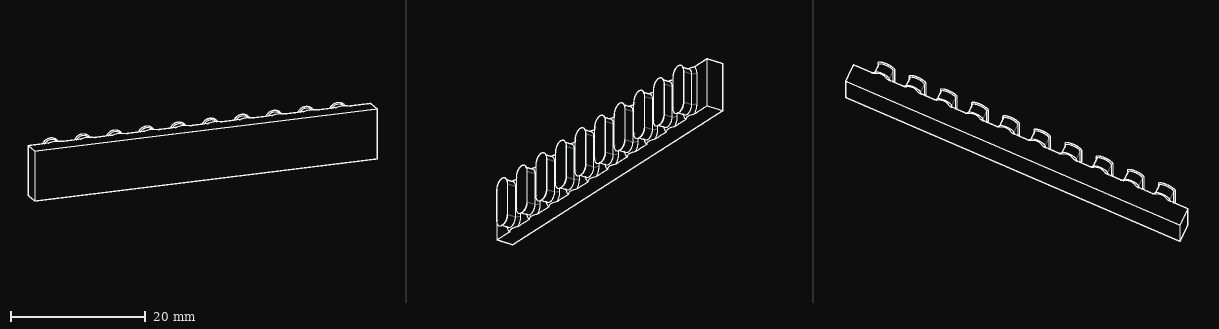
import cadquery as cq

total_depth = 5.0
plate_thickness = 2.85
plate_length = 54.53
plate_height = 7.84

tooth_count = 10
tooth_pitch = 5.08
tooth_height = total_depth - plate_thickness

stem_radius = 1.18
tip_flare = 0.2
root_flare = 0.56
tip_radius = stem_radius + tip_flare
root_radius = stem_radius + root_flare
end_spacing = plate_height - 2 * tip_radius

tooth_plane = cq.Plane(origin=(-plate_thickness, 0, 0), xDir=(0, 1, 0), normal=(0, 0, 1))


def make_plate():
    """Rectangular bar that carries the teeth."""
    plate = cq.Workplane("XY").box(plate_thickness, plate_length, plate_height)
    return plate.translate((-plate_thickness / 2, 0, 0))


def make_tooth():
    """Tooth at Y = 0, with its root flare trimmed flush with the top and bottom of the plate."""
    flank = [
        (root_radius, 0),
        (stem_radius, root_flare),
        (stem_radius, tooth_height - tip_flare),
        (tip_radius, tooth_height),
    ]
    opposite_flank = [(-across, outward) for across, outward in reversed(flank)]
    full_section = cq.Workplane(tooth_plane).polyline(flank + opposite_flank).close()
    tooth = full_section.extrude(end_spacing / 2, both=True)

    half_section = cq.Workplane(tooth_plane).polyline([(0, 0)] + flank + [(0, tooth_height)]).close()
    round_end = half_section.revolve(360, (0, 0), (0, 1))
    for side in (-1, 1):
        tooth = tooth.union(round_end.translate((0, 0, side * end_spacing / 2)))

    plate_envelope = cq.Workplane("XY").box(2 * total_depth, tooth_pitch, plate_height)
    return tooth.intersect(plate_envelope)


def make_rack():
    """Plate with the evenly spaced row of teeth, centred along its length."""
    rack = make_plate()
    tooth = make_tooth()
    first_tooth_y = -(tooth_count - 1) * tooth_pitch / 2
    for index in range(tooth_count):
        rack = rack.union(tooth.translate((0, first_tooth_y + index * tooth_pitch, 0)))
    return rack


result = make_rack()